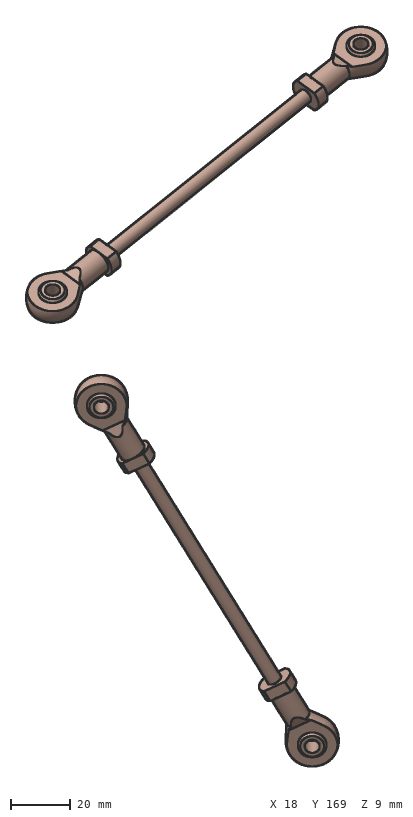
import cadquery as cq
import math

total_length = 169.0
eye_diameter = 18.0
eye_thickness = 6.0
shank_diameter = 9.0
rod_diameter = 5.0

ball_diameter = 11.5
ball_height = 8.1
ball_bore = 5.0

nut_diameter = 12.0
nut_thickness = 4.4
nut_inner_face_y = 48.5

taper_start = 4.65
relief_start = 8.8
relief_end = 12.8
rod_engagement = 6.8

eye_radius = eye_diameter / 2
shank_radius = shank_diameter / 2
eye_y = total_length / 2 - eye_radius
shank_face_y = nut_inner_face_y + nut_thickness
rod_end_y = shank_face_y + rod_engagement


def make_ball():
    """Sphere with flat top and bottom and a vertical bore, at the +Y eye."""
    ball = cq.Workplane("XY").sphere(ball_diameter / 2)
    ball = ball.intersect(cq.Workplane("XY").box(ball_diameter, ball_diameter, ball_height))
    bore = cq.Workplane("XY", origin=(0, 0, -ball_height / 2)).circle(ball_bore / 2).extrude(ball_height)
    return ball.cut(bore).translate((0, eye_y, 0))


def rod_end_blank():
    """Spherical head, tangent cone and cylindrical shank, revolved about Y."""
    taper_radius = math.sqrt(eye_radius**2 - taper_start**2)
    cone_slope = taper_start / taper_radius
    taper_length = (taper_radius - shank_radius) / cone_slope
    taper_y = eye_y - taper_start
    neck_y = taper_y - taper_length
    return (
        cq.Workplane("XY")
        .moveTo(0, shank_face_y)
        .lineTo(shank_radius, shank_face_y)
        .lineTo(shank_radius, neck_y)
        .lineTo(taper_radius, taper_y)
        .threePointArc((eye_radius, eye_y), (0, eye_y + eye_radius))
        .close()
        .revolve(360, (0, 0, 0), (0, 1, 0))
    )


def face_relief():
    """Material removed above the eye: a flat face, then a slope up to the shank."""
    flat_z = eye_thickness / 2
    top_z = eye_diameter
    slope = (shank_radius - flat_z) / (relief_end - relief_start)
    slope_run = (top_z - flat_z) / slope
    slope_y = eye_y - relief_start
    far_y = eye_y + eye_diameter
    return (
        cq.Workplane("YZ")
        .moveTo(far_y, flat_z)
        .lineTo(slope_y, flat_z)
        .lineTo(slope_y - slope_run, top_z)
        .lineTo(far_y, top_z)
        .close()
        .extrude(eye_diameter, both=True)
    )


def make_rod_end(rod):
    """Rod end at +Y, with a spherical seat for the ball and a socket for the rod."""
    relief = face_relief()
    seat = cq.Workplane("XY").sphere(ball_diameter / 2).translate((0, eye_y, 0))
    return rod_end_blank().cut(relief).cut(relief.mirror("XY")).cut(seat).cut(rod)


def make_nut(rod):
    """Lock nut at +Y, seated against the shank with the rod passing through."""
    disc = (
        cq.Workplane("XZ", origin=(0, shank_face_y, 0))
        .circle(nut_diameter / 2)
        .extrude(nut_thickness)
    )
    flats = cq.Workplane("XY").box(nut_diameter, total_length, shank_diameter)
    return disc.intersect(flats).cut(rod)


def make_rod():
    """Plain round rod reaching into both shanks."""
    start = cq.Workplane("XZ", origin=(0, rod_end_y, 0))
    return start.circle(rod_diameter / 2).extrude(2 * rod_end_y)


rod = make_rod()
bodies = [rod.val()]
for turn in (0, 180):
    for body in (make_rod_end(rod), make_ball(), make_nut(rod)):
        bodies.append(body.rotate((0, 0, 0), (0, 0, 1), turn).solids().val())

result = cq.Compound.makeCompound(bodies)